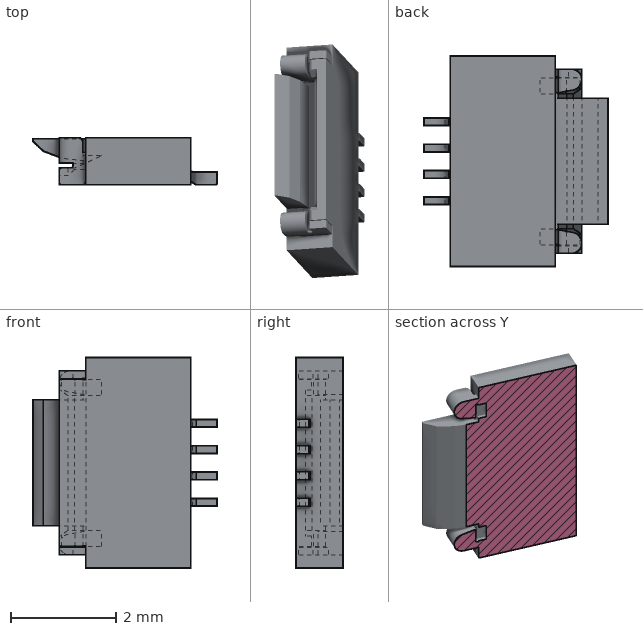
import cadquery as cq
import math


HOUSING_FRONT_X = 1.0
HOUSING_LENGTH = 2.0
HOUSING_HEIGHT = 0.9
HOUSING_WIDTH = 4.0
HOUSING_BACK_X = HOUSING_FRONT_X + HOUSING_LENGTH

FRONT_X = 0.5
TONGUE_HALF_WIDTH = 1.585
SHOULDER_HEIGHT = 0.33
SHOULDER_CHAMFER = 0.04

MOUTH_HALF_WIDTH = 1.39
MOUTH_LENGTH = 0.163
MOUTH_FLOOR_Y = 0.18
THROAT_HALF_WIDTH = 1.28
THROAT_FLOOR_Y = 0.30
THROAT_X = FRONT_X + MOUTH_LENGTH
RAMP_END_X = THROAT_X + THROAT_FLOOR_Y - MOUTH_FLOOR_Y

RECESS_START_X = 0.8
RECESS_END_X = 1.3
RECESS_TOP_Y = 0.56

ACTUATOR_HALF_WIDTH = 1.2
ACTUATOR_TOP_Y = 0.88
ACTUATOR_UNDERSIDE = [(0, 0.828), (0.2, 0.64), (0.527, 0.515), (HOUSING_FRONT_X, 0.46)]
CROSSBAR_HALF_WIDTH = 1.3
CROSSBAR_FRONT_X = 0.95
CROSSBAR_BOTTOM_Y = 0.56

LATCH_OUTER_Z = 1.75
LATCH_THICKNESS = 0.15
LATCH_CORNER_RADIUS = 0.05
SLOT_BOTTOM_Y = 0.325
SLOT_TOP_Y = 0.415
SLOT_END_X = 0.758
SLOT_CORNER_RADIUS = 0.035
CURL_RADIUS = 0.2
ARM_TAPER_ANGLE = math.radians(10.5)
ARM_BACK_X = 0.945
ARM_NOTCH_Y = 0.62
ARM_TOP_RADIUS = 0.08
ARM_NOTCH_RADIUS = 0.02

LEAD_COUNT = 4
LEAD_PITCH = 0.5
LEAD_WIDTH = 0.15
LEAD_HEIGHT = 0.25
LEAD_TIP_X = 3.5
LEAD_TIP_RADIUS = 0.04
LEAD_RAMP_LENGTH = 0.1
LEAD_RAMP_RISE = 0.065
LEAD_TOP_RAMP_LENGTH = 0.03
LEAD_TOP_RAMP_RISE = 0.02


def box(x0, x1, y0, y1, z0, z1):
    """Box between two opposite corners."""
    return cq.Workplane("XY").box(x1 - x0, y1 - y0, z1 - z0, centered=False).translate((x0, y0, z0))


def make_housing():
    half_width = HOUSING_WIDTH / 2
    return box(HOUSING_FRONT_X, HOUSING_BACK_X, 0, HOUSING_HEIGHT, -half_width, half_width)


def make_tongue():
    tongue = box(FRONT_X, HOUSING_FRONT_X, 0, SHOULDER_HEIGHT, -TONGUE_HALF_WIDTH, TONGUE_HALF_WIDTH)
    tongue = tongue.edges("|Z and <X and >Y").chamfer(SHOULDER_CHAMFER)
    entry = (
        cq.Workplane("ZX", origin=(0, MOUTH_FLOOR_Y, 0))
        .moveTo(-MOUTH_HALF_WIDTH, FRONT_X)
        .lineTo(-THROAT_HALF_WIDTH, THROAT_X)
        .lineTo(-THROAT_HALF_WIDTH, HOUSING_FRONT_X)
        .lineTo(THROAT_HALF_WIDTH, HOUSING_FRONT_X)
        .lineTo(THROAT_HALF_WIDTH, THROAT_X)
        .lineTo(MOUTH_HALF_WIDTH, FRONT_X)
        .close()
        .extrude(SHOULDER_HEIGHT - MOUTH_FLOOR_Y)
    )
    ramp_profile = [
        (THROAT_X, MOUTH_FLOOR_Y),
        (RAMP_END_X, THROAT_FLOOR_Y),
        (HOUSING_FRONT_X, THROAT_FLOOR_Y),
        (HOUSING_FRONT_X, MOUTH_FLOOR_Y),
    ]
    ramp = cq.Workplane("XY").polyline(ramp_profile).close().extrude(THROAT_HALF_WIDTH, both=True)
    return tongue.cut(entry).union(ramp)


def make_recess_slope():
    """Solid under the sloped recess floor at +Z, rising from the shoulder into the housing."""
    profile = [
        (RECESS_START_X, SHOULDER_HEIGHT),
        (RECESS_END_X, RECESS_TOP_Y),
        (RECESS_END_X, SHOULDER_HEIGHT),
    ]
    return (
        cq.Workplane("XY", origin=(0, 0, THROAT_HALF_WIDTH))
        .polyline(profile)
        .close()
        .extrude(TONGUE_HALF_WIDTH - THROAT_HALF_WIDTH)
    )


def cut_recess(housing):
    """Opens the recesses at both ends of the housing front and adds their sloped floors."""
    opening = box(
        HOUSING_FRONT_X, RECESS_END_X,
        SHOULDER_HEIGHT, RECESS_TOP_Y,
        THROAT_HALF_WIDTH, TONGUE_HALF_WIDTH,
    )
    slope = make_recess_slope()
    housing = housing.cut(opening).cut(opening.mirror("XY"))
    return housing.union(slope).union(slope.mirror("XY"))


def make_actuator():
    profile = [(0, ACTUATOR_TOP_Y)] + ACTUATOR_UNDERSIDE + [(HOUSING_FRONT_X, ACTUATOR_TOP_Y)]
    flap = cq.Workplane("XY").polyline(profile).close().extrude(ACTUATOR_HALF_WIDTH, both=True)
    crossbar = box(
        CROSSBAR_FRONT_X, HOUSING_FRONT_X,
        CROSSBAR_BOTTOM_Y, ACTUATOR_TOP_Y,
        -CROSSBAR_HALF_WIDTH, CROSSBAR_HALF_WIDTH,
    )
    return flap.union(crossbar)


def make_latch_plate():
    """Flat outer plate of the latch at +Z, with the slot below its arm."""
    inner_z = LATCH_OUTER_Z - LATCH_THICKNESS
    foot = box(FRONT_X, HOUSING_FRONT_X, 0, ARM_NOTCH_Y, inner_z, LATCH_OUTER_Z)
    foot = foot.edges("|Z and <Y").fillet(LATCH_CORNER_RADIUS)
    slot = box(FRONT_X, SLOT_END_X, SLOT_BOTTOM_Y, SLOT_TOP_Y, inner_z, LATCH_OUTER_Z)
    slot = slot.edges("|Z and >X and <Y").fillet(SLOT_CORNER_RADIUS)
    above_slot = box(FRONT_X, SLOT_END_X, SLOT_TOP_Y, ARM_NOTCH_Y, inner_z, LATCH_OUTER_Z)
    return foot.cut(slot).cut(above_slot)


def make_latch_curl():
    """Rolled arm of the latch at +Z, rising along Y above the slot."""
    middle_z = LATCH_OUTER_Z - CURL_RADIUS
    curl_x = FRONT_X + CURL_RADIUS
    tangent_x = curl_x - CURL_RADIUS * math.sin(ARM_TAPER_ANGLE)
    tangent_z = middle_z - CURL_RADIUS * math.cos(ARM_TAPER_ANGLE)
    taper_rise = (ARM_BACK_X - tangent_x) * math.tan(ARM_TAPER_ANGLE)
    curl = (
        cq.Workplane("ZX", origin=(0, SLOT_TOP_Y, 0))
        .moveTo(LATCH_OUTER_Z, ARM_BACK_X)
        .lineTo(LATCH_OUTER_Z, curl_x)
        .threePointArc((middle_z, FRONT_X), (tangent_z, tangent_x))
        .lineTo(tangent_z - taper_rise, ARM_BACK_X)
        .close()
        .extrude(HOUSING_HEIGHT - SLOT_TOP_Y)
    )
    return curl.edges("|Z and >X and >Y").fillet(ARM_TOP_RADIUS)


def make_notch_fillet():
    """Small hollow fillet where the arm meets the plate beside the housing."""
    inner_z = LATCH_OUTER_Z - LATCH_THICKNESS
    corner_y = ARM_NOTCH_Y + ARM_NOTCH_RADIUS
    return (
        cq.Workplane("XY", origin=(0, 0, inner_z))
        .moveTo(ARM_BACK_X, ARM_NOTCH_Y)
        .lineTo(ARM_BACK_X, corner_y)
        .radiusArc((ARM_BACK_X + ARM_NOTCH_RADIUS, ARM_NOTCH_Y), -ARM_NOTCH_RADIUS)
        .close()
        .extrude(LATCH_THICKNESS)
    )


def make_latches():
    latch = make_latch_plate().union(make_latch_curl()).union(make_notch_fillet())
    return latch.union(latch.mirror("XY"))


def make_lead(center_z):
    tip_y = LEAD_TIP_RADIUS
    tip_x = LEAD_TIP_X - LEAD_TIP_RADIUS
    return (
        cq.Workplane("XY", origin=(0, 0, center_z))
        .moveTo(HOUSING_BACK_X, LEAD_RAMP_RISE)
        .lineTo(HOUSING_BACK_X + LEAD_RAMP_LENGTH, 0)
        .lineTo(tip_x, 0)
        .radiusArc((LEAD_TIP_X, tip_y), -LEAD_TIP_RADIUS)
        .lineTo(LEAD_TIP_X, LEAD_HEIGHT)
        .lineTo(HOUSING_BACK_X + LEAD_TOP_RAMP_LENGTH, LEAD_HEIGHT)
        .lineTo(HOUSING_BACK_X, LEAD_HEIGHT + LEAD_TOP_RAMP_RISE)
        .close()
        .extrude(LEAD_WIDTH / 2, both=True)
    )


result = cut_recess(make_housing()).union(make_tongue()).union(make_actuator()).union(make_latches())
for index in range(LEAD_COUNT):
    lead_z = (index - (LEAD_COUNT - 1) / 2) * LEAD_PITCH
    result = result.union(make_lead(lead_z))